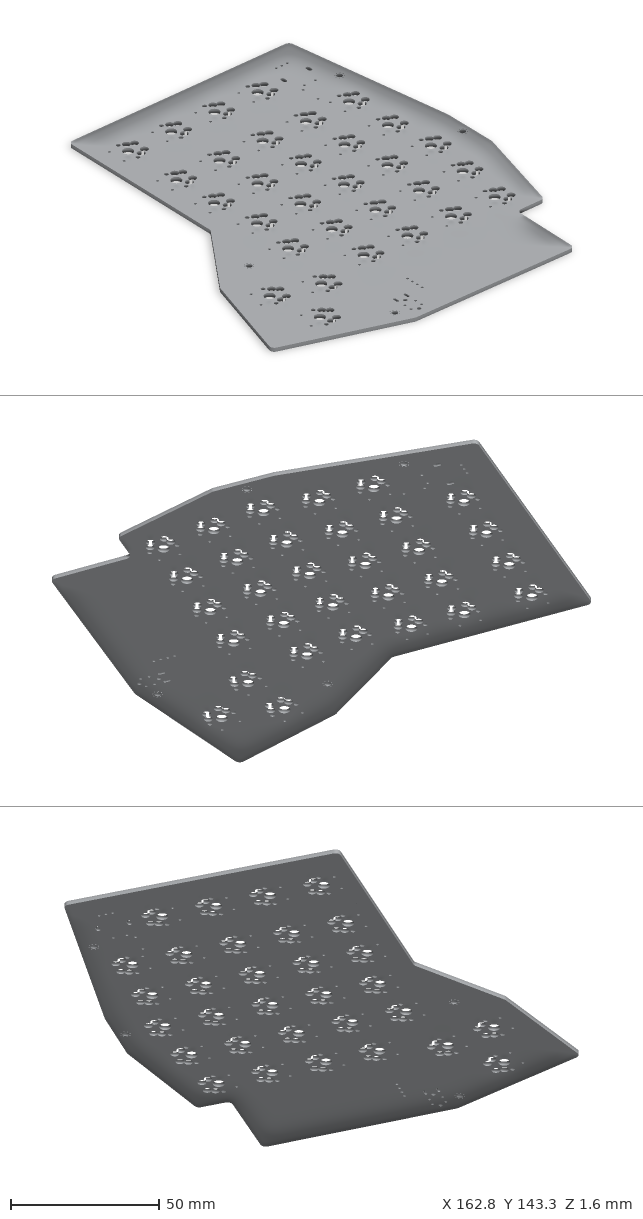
import cadquery as cq
import math

THICKNESS = 1.6
CORNER_RADIUS = 2.0

RIGHT_TRIM = 0.023

CORNERS = [
    (-81.4, 61.5),
    (-11.0, 71.6),
    (11.5, 71.6),
    (51.1, 60.5),
    (51.1, 48.5),
    (81.4 + RIGHT_TRIM, 47.8),
    (80.5, -22.3),
    (63.8, -72.2),
    (23.0, -59.7),
    (-7.3, -37.7),
    (-81.4, -37.0),
]

SWITCH_STEM_DIA = 4.0
SWITCH_PIN_RADIUS = 1.5
SWITCH_PEG_DIA = 1.6
LEAD_DIA = 1.0
SCREW_DIA = 2.3
VIA_DIA = 0.4
JACK_PEG_DIA = 1.5

GRID = 1.27
PIN_UPPER = (2 * GRID, 4 * GRID)
PIN_LOWER = (3 * GRID, 2 * GRID)
PEG_OFFSET = (4 * GRID, 0)
DIODE_OFFSET = (3 * GRID, -4 * GRID)

FIVE_KEY_SPAN = 77.1
KEY_PITCH = FIVE_KEY_SPAN / 4
KEY_COLUMNS = [
    (-64.0, 32.4, 4, 0.0),
    (-39.2, 51.7, 5, 0.0),
    (-19.2, 51.7, 5, 0.4),
    (0.3, 54.0, 5, 0.5),
    (19.7, 51.4, 5, 0.7),
    (39.4, 48.6, 4, 0.8),
]
THUMB_TILT = 15.0
THUMB_KEYS = [(43.1, -32.0), (59.0, -46.5), (37.7, -50.5)]

ENCODER = (-64.1, 49.8)
ENCODER_PIN_PITCH = 2.5
ENCODER_SIGNAL_X = -7.5
ENCODER_SWITCH_X = 7.0
ENCODER_TAB_SPACING = 11.2
ENCODER_TAB_LENGTH = 2.8
ENCODER_TAB_WIDTH = 1.5
ENCODER_DIODE = (-51.3, 50.1)

SCREW_HOLES = [
    ((0.3, 68.2), 0.0),
    ((-54.0, 60.4), 0.0),
    ((18.5, -43.0), THUMB_TILT),
    ((73.5, -25.5), THUMB_TILT),
]
VIA_COUNT = 8
VIA_RING_RADIUS = 1.6

HEADER_START = (59.7, -8.0)
HEADER_PITCH = 2 * GRID
HEADER_PINS = 4

JACK_AXIS_Y = -17.5
JACK_ROW_SPACING = 4.7
JACK_SLOT_X = 67.7
JACK_SLOT_LENGTH = 2.6
JACK_LEAD_X = (72.2, 75.3)
JACK_PEG_X = (69.6, 76.8)


def placed(offset, origin, tilt):
    """Point at `offset` from `origin`, turned clockwise by `tilt` degrees."""
    angle = math.radians(tilt)
    x, y = offset
    return (
        origin[0] + x * math.cos(angle) + y * math.sin(angle),
        origin[1] - x * math.sin(angle) + y * math.cos(angle),
    )


def drills(points, diameter):
    """Cutters for round through holes."""
    return cq.Workplane("XY").pushPoints(points).circle(diameter / 2).extrude(THICKNESS).vals()


def slots(points, length, width):
    """Cutters for through slots that are long in X."""
    return cq.Workplane("XY").pushPoints(points).slot2D(length, width).extrude(THICKNESS).vals()


def key_places():
    """Stem position and tilt of every key."""
    places = []
    for x, y, count, tilt in KEY_COLUMNS:
        for row in range(count):
            places.append((placed((0, -row * KEY_PITCH), (x, y), tilt), tilt))
    for stem in THUMB_KEYS:
        places.append((stem, THUMB_TILT))
    return places


def key_cutters():
    """Reversible switch footprints, each with its diode below."""
    places = key_places()

    def on_both_sides(offset):
        x, y = offset
        return [placed((side * x, y), stem, tilt) for stem, tilt in places for side in (-1, 1)]

    cutters = drills([stem for stem, _ in places], SWITCH_STEM_DIA)
    cutters += drills(on_both_sides(PIN_UPPER), 2 * SWITCH_PIN_RADIUS)
    cutters += drills(on_both_sides(PIN_LOWER), 2 * SWITCH_PIN_RADIUS)
    cutters += drills(on_both_sides(PEG_OFFSET), SWITCH_PEG_DIA)
    cutters += drills(on_both_sides(DIODE_OFFSET), LEAD_DIA)
    return cutters


def encoder_cutters():
    x, y = ENCODER
    signal_pins = [(x + ENCODER_SIGNAL_X, y + i * ENCODER_PIN_PITCH) for i in (-1, 0, 1)]
    switch_pins = [(x + ENCODER_SWITCH_X, y + i * ENCODER_PIN_PITCH) for i in (-1, 1)]
    diode_leads = [placed((side * DIODE_OFFSET[0], DIODE_OFFSET[1]), ENCODER_DIODE, 0) for side in (-1, 1)]
    tabs = [(x, y + side * ENCODER_TAB_SPACING / 2) for side in (-1, 1)]
    cutters = drills(signal_pins + switch_pins + diode_leads, LEAD_DIA)
    cutters += slots(tabs, ENCODER_TAB_LENGTH, ENCODER_TAB_WIDTH)
    return cutters


def screw_cutters():
    vias = [
        placed((VIA_RING_RADIUS, 0), centre, tilt + i * 360 / VIA_COUNT)
        for centre, tilt in SCREW_HOLES
        for i in range(VIA_COUNT)
    ]
    return drills([centre for centre, _ in SCREW_HOLES], SCREW_DIA) + drills(vias, VIA_DIA)


def header_cutters():
    x, y = HEADER_START
    return drills([(x + i * HEADER_PITCH, y) for i in range(HEADER_PINS)], LEAD_DIA)


def jack_cutters():
    rows = [JACK_AXIS_Y + side * JACK_ROW_SPACING / 2 for side in (-1, 1)]
    cutters = slots([(JACK_SLOT_X, y) for y in rows], JACK_SLOT_LENGTH, LEAD_DIA)
    cutters += drills([(x, y) for x in JACK_LEAD_X for y in rows], LEAD_DIA)
    cutters += drills([(x, JACK_AXIS_Y) for x in JACK_PEG_X], JACK_PEG_DIA)
    return cutters


board = cq.Workplane("XY").polyline(CORNERS).close().extrude(THICKNESS)
board = board.edges("|Z").fillet(CORNER_RADIUS)

cutters = key_cutters() + encoder_cutters() + screw_cutters() + header_cutters() + jack_cutters()
result = cq.Workplane(board.val().cut(*cutters).Solids()[0])